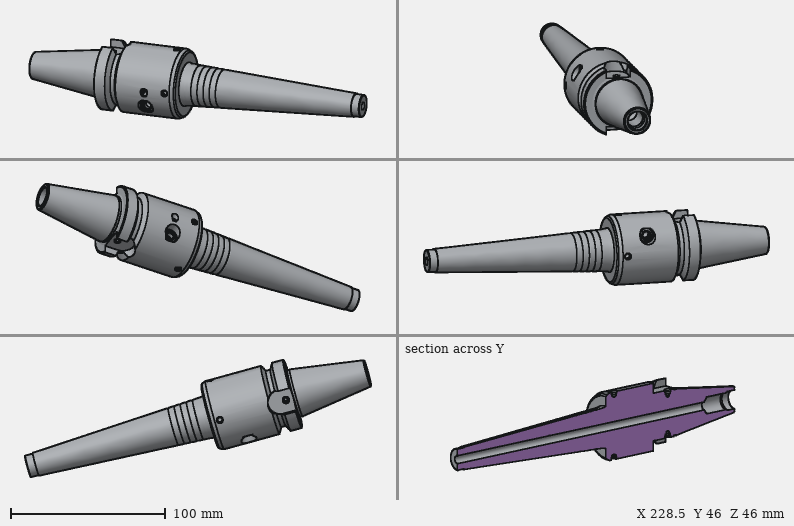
import cadquery as cq
import math

LENGTH = 228.5
BODY_DIAMETER = 46.0
BODY_RADIUS = BODY_DIAMETER / 2

SHANK_BIG_DIAMETER = 31.7
SHANK_BIG_RADIUS = SHANK_BIG_DIAMETER / 2
SHANK_LENGTH = 48.2
SHANK_SLOPE = 7 / 24 / 2
SHANK_END_RADIUS = SHANK_BIG_RADIUS - SHANK_LENGTH * SHANK_SLOPE
SHANK_CHAMFER = 0.7

RELIEF_RADIUS = 15.5
RELIEF_OUTER_RADIUS = 17.4
RELIEF_BLEND_START = 49.8

FLANGE_START = 50.2
FLANGE_END = 58.0
FLANGE_CHAMFER_LENGTH = 0.5
FLANGE_CHAMFER_HEIGHT = 1.0
GROOVE_RADIUS = 19.0
GROOVE_WALL_ANGLE = 30.0
GROOVE_WALL_RUN = (BODY_RADIUS - GROOVE_RADIUS) * math.tan(math.radians(GROOVE_WALL_ANGLE))
BODY_START = 65.5

NOSE_START = 102.8
NOSE_CHAMFER_START = 105.3
NOSE_RADIUS = 22.0
BODY_END = 106.2
BODY_FACE_RADIUS = 20.8

EXTENSION_ROOT_RADIUS = 14.5
EXTENSION_BLEND_RADIUS = 14.0
EXTENSION_BLEND_X = 107.3
EXTENSION_START = 109.5
EXTENSION_RADIUS = 13.7
TIP_START = 223.0
TIP_RADIUS = 7.3
TIP_CHAMFER = 0.35
EXTENSION_HALF_ANGLE = 3.0
EXTENSION_SLOPE = math.tan(math.radians(EXTENSION_HALF_ANGLE))

RING_COUNT = 5
RING_SPAN = 16.7
RING_PITCH = RING_SPAN / (RING_COUNT - 1)
RING_HALF_WIDTH = 1.03
RING_DEPTH = 0.2
RING_CENTER = 122.5

THROUGH_RADIUS = 2.5
BORE_MOUTH_RADIUS = 6.6
BORE_PILOT_RADIUS = 6.2
BORE_MOUTH_DEPTH = 0.5
BORE_PILOT_DEPTH = 5.7
BORE_THREAD_START = 7.5
BORE_THREAD_RADIUS = 5.5
BORE_THREAD_DEPTH = 22.8
BORE_CONE_LENGTH = 2.3

SLOT_WIDTH = 16.0
SLOT_FLOOR = 16.2
SLOT_END = 67.0
SLOT_HOLE_X = 55.0

BALANCE_HOLE_STEPS = (4.0, 3.2)
SLOT_HOLE_STEPS = (4.3, 3.5, 2.3)
SMALL_HOLE_STEP_DEPTH = 1.4
DRILL_POINT_ANGLE = 118.0
BALANCE_HOLE_X = 99.4

CLAMP_X = 85.2
CLAMP_OFFSET = 11.9
CLAMP_POCKET_DIAMETER = 10.0
CLAMP_FLOOR = 16.0
CLAMP_HEAD_DIAMETER = 9.0
CLAMP_HEAD_TOP_DIAMETER = 6.0
CLAMP_HEAD_CHAMFER = 1.4
CLAMP_SOCKET_DIAMETER = 4.5
CLAMP_SOCKET_DEPTH = 3.5
TILTED_HOLE_DIAMETER = 4.5
TILTED_HOLE_CORE_DIAMETER = 3.5
TILTED_HOLE_Z = -1.03
TILTED_HOLE_ANGLE = 30.0
TILTED_HOLE_DEPTH = 4.5


def extension_radius(x):
    return EXTENSION_RADIUS - (x - EXTENSION_START) * EXTENSION_SLOPE


def revolve(points):
    """Solid of revolution about the X axis from (x, radius) points."""
    return cq.Workplane("XY").polyline(points).close().revolve(360, (0, 0, 0), (1, 0, 0))


def ring_points():
    """Outline points of the V grooves: edge, bottom, edge for each."""
    points = []
    for i in range(RING_COUNT):
        middle = RING_CENTER + (i - (RING_COUNT - 1) / 2) * RING_PITCH
        left = middle - RING_HALF_WIDTH
        right = middle + RING_HALF_WIDTH
        points.append((left, extension_radius(left)))
        points.append((middle, extension_radius(middle) - RING_DEPTH))
        points.append((right, extension_radius(right)))
    return points


def rotated(shape, angle):
    """Shape rotated about the X axis."""
    return shape.rotate((0, 0, 0), (1, 0, 0), angle)


def holder_body():
    points = [
        (0, 0),
        (0, SHANK_END_RADIUS - SHANK_CHAMFER),
        (SHANK_CHAMFER, SHANK_END_RADIUS + SHANK_CHAMFER * SHANK_SLOPE),
        (SHANK_LENGTH, SHANK_BIG_RADIUS),
        (SHANK_LENGTH, RELIEF_RADIUS),
        (RELIEF_BLEND_START, RELIEF_RADIUS),
        (FLANGE_START, RELIEF_OUTER_RADIUS),
        (FLANGE_START, BODY_RADIUS - FLANGE_CHAMFER_HEIGHT),
        (FLANGE_START + FLANGE_CHAMFER_LENGTH, BODY_RADIUS),
        (FLANGE_END, BODY_RADIUS),
        (FLANGE_END + GROOVE_WALL_RUN, GROOVE_RADIUS),
        (BODY_START - GROOVE_WALL_RUN, GROOVE_RADIUS),
        (BODY_START, BODY_RADIUS),
        (NOSE_START, BODY_RADIUS),
        (NOSE_CHAMFER_START, NOSE_RADIUS),
        (BODY_END, BODY_FACE_RADIUS),
        (BODY_END, EXTENSION_ROOT_RADIUS),
        (EXTENSION_BLEND_X, EXTENSION_BLEND_RADIUS),
        (EXTENSION_START, EXTENSION_RADIUS),
        *ring_points(),
        (TIP_START, extension_radius(TIP_START)),
        (TIP_START, TIP_RADIUS),
        (LENGTH - TIP_CHAMFER, TIP_RADIUS),
        (LENGTH, TIP_RADIUS - TIP_CHAMFER),
        (LENGTH, 0),
    ]
    return revolve(points)


def axial_bore():
    return revolve([
        (0, 0),
        (0, BORE_MOUTH_RADIUS),
        (BORE_MOUTH_DEPTH, BORE_PILOT_RADIUS),
        (BORE_PILOT_DEPTH, BORE_PILOT_RADIUS),
        (BORE_THREAD_START, BORE_THREAD_RADIUS),
        (BORE_THREAD_DEPTH, BORE_THREAD_RADIUS),
        (BORE_THREAD_DEPTH + BORE_CONE_LENGTH, THROUGH_RADIUS),
        (LENGTH, THROUGH_RADIUS),
        (LENGTH, 0),
    ])


def drill_point(diameter):
    return diameter / 2 / math.tan(math.radians(DRILL_POINT_ANGLE / 2))


def drive_slot():
    """Round-ended slot above the floor on the +Z side."""
    radius = SLOT_WIDTH / 2
    straight_start = SHANK_LENGTH
    straight_end = SLOT_END - radius
    return (
        cq.Workplane("XY", origin=(0, 0, SLOT_FLOOR))
        .moveTo(straight_start, -radius)
        .lineTo(straight_end, -radius)
        .threePointArc((SLOT_END, 0), (straight_end, radius))
        .lineTo(straight_start, radius)
        .close()
        .extrude(BODY_RADIUS)
    )


def small_hole(x, surface, steps):
    """Stepped blind hole with a drill point, entering at z = surface and going toward -Z."""
    points = [(0, surface + steps[0])]
    top = surface + steps[0]
    for i, diameter in enumerate(steps):
        bottom = surface - (i + 1) * SMALL_HOLE_STEP_DEPTH
        points.append((diameter / 2, top))
        points.append((diameter / 2, bottom))
        top = bottom
    points.append((0, bottom - drill_point(steps[-1])))
    hole = cq.Workplane("XZ").polyline(points).close().revolve(360, (0, 0, 0), (0, 1, 0))
    return hole.translate((x, 0, 0))


def clamp_pocket():
    """Pocket on the -Y side around a clamping screw head with a conical socket bottom."""
    pocket = CLAMP_POCKET_DIAMETER / 2
    head = CLAMP_HEAD_DIAMETER / 2
    socket = CLAMP_SOCKET_DIAMETER / 2
    socket_bottom = CLAMP_FLOOR - CLAMP_SOCKET_DEPTH
    return (
        cq.Workplane("XY")
        .polyline([
            (0, -BODY_RADIUS),
            (pocket, -BODY_RADIUS),
            (pocket, -CLAMP_FLOOR),
            (head, -CLAMP_FLOOR),
            (head, CLAMP_HEAD_CHAMFER - CLAMP_FLOOR),
            (CLAMP_HEAD_TOP_DIAMETER / 2, -CLAMP_FLOOR),
            (socket, -CLAMP_FLOOR),
            (socket, -socket_bottom),
            (0, -socket_bottom + drill_point(CLAMP_SOCKET_DIAMETER)),
        ])
        .close()
        .revolve(360, (0, 0, 0), (0, 1, 0))
        .translate((CLAMP_X, 0, -CLAMP_OFFSET))
    )


def tilted_hole():
    """Stepped hole entering the -Y side and sloping down toward the axis."""
    rim = TILTED_HOLE_DIAMETER / 2
    core = TILTED_HOLE_CORE_DIAMETER / 2
    hole = (
        cq.Workplane("XY")
        .polyline([
            (0, -TILTED_HOLE_DIAMETER),
            (rim, -TILTED_HOLE_DIAMETER),
            (rim, TILTED_HOLE_DEPTH / 2),
            (core, TILTED_HOLE_DEPTH / 2),
            (core, TILTED_HOLE_DEPTH),
            (0, TILTED_HOLE_DEPTH + drill_point(TILTED_HOLE_CORE_DIAMETER)),
        ])
        .close()
        .revolve(360, (0, 0, 0), (0, 1, 0))
    )
    return rotated(hole, -TILTED_HOLE_ANGLE).translate((CLAMP_X, -BODY_RADIUS, TILTED_HOLE_Z))


result = holder_body().cut(axial_bore())
for angle in (0, 180):
    result = result.cut(rotated(drive_slot(), angle))
    result = result.cut(rotated(small_hole(SLOT_HOLE_X, SLOT_FLOOR, SLOT_HOLE_STEPS), angle))
    result = result.cut(rotated(clamp_pocket(), angle))
for angle in (0, 90, 180, 270):
    result = result.cut(rotated(small_hole(BALANCE_HOLE_X, BODY_RADIUS, BALANCE_HOLE_STEPS), angle))
result = result.cut(tilted_hole())